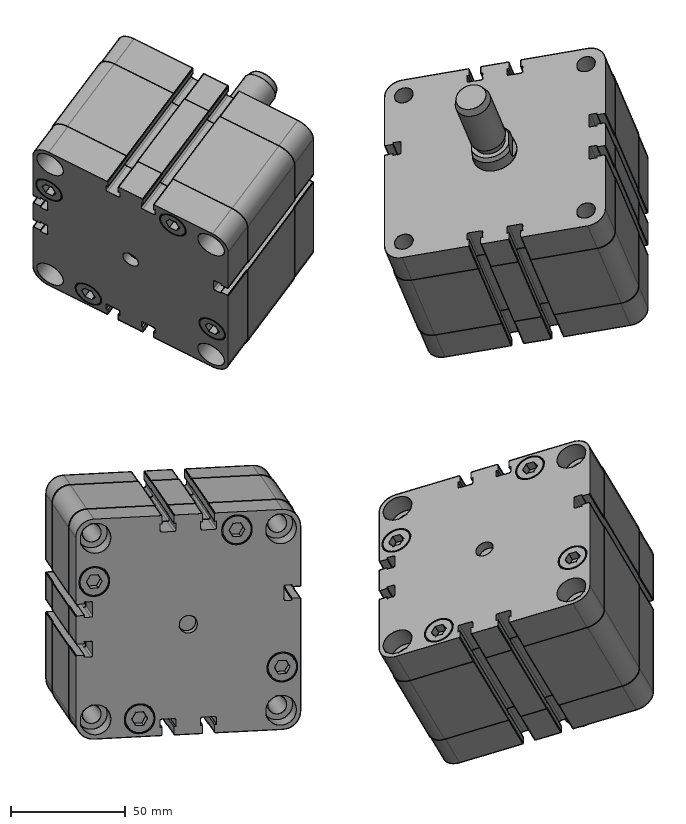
import cadquery as cq
import math

BARREL_SIDE = 100.0
OVERALL_LENGTH = 111.0
ROD_REACH = 39.8
CORNER_RADIUS = 8.0
COVER_LENGTH = 16.0
COVER_INSET = 0.2

COVER_SIDE = BARREL_SIDE - 2 * COVER_INSET
BODY_LENGTH = OVERALL_LENGTH - ROD_REACH
BARREL_LENGTH = BODY_LENGTH - 2 * COVER_LENGTH
Y_FRONT = -OVERALL_LENGTH / 2
Y_REAR = Y_FRONT + BODY_LENGTH

SLOT_OFFSET = 9.0
SINGLE_SLOT_OFFSET = 12.0
SLOT_MOUTH_WIDTH = 5.2
SLOT_LIP_DEPTH = 3.8
SLOT_DEPTH = 7.4
SLOT_WIDTH = 7.0
SLOT_FILLET = 0.8
COVER_SLOT_CHAMFER = 0.3
BARREL_SLOT_CHAMFER = 0.2

MOUNT_OFFSET = 41.1
MOUNT_DIAMETER = 8.3
MOUNT_BORE_DIAMETER = 13.5
MOUNT_BORE_DEPTH = 9.0

SCREW_NEAR = 21.5
SCREW_FAR = 41.6
SCREW_BORE_DIAMETER = 13.5
SCREW_HEAD_DIAMETER = 12.5
SCREW_GAP_DEPTH = 5.0
SCREW_HEX = 6.0
SCREW_HEX_DEPTH = 4.0

CENTER_DIAMETER = 8.0
CENTER_DEPTH = 4.0

COLLAR_DIAMETER = 20.0
COLLAR_LENGTH = 8.0
COLLAR_CHAMFER = 1.1
COLLAR_CHAMFER_LENGTH = 1.9
FLATS_WIDTH = 16.8
FLATS_LENGTH = 6.0
NECK_DIAMETER = 13.5
NECK_LENGTH = 3.0
NECK_CONE_LENGTH = 0.8
THREAD_DIAMETER = 16.0
TIP_DIAMETER = 13.5
TIP_LENGTH = 3.3


def plane_at(y):
    """XZ plane at depth y whose normal points to +Y; local x is -X, local y is Z."""
    return cq.Workplane(cq.Plane(origin=(0, y, 0), xDir=(-1, 0, 0), normal=(0, 1, 0)))


def slot(y, length, half_side, edge_chamfer, offset, angle):
    """Stepped slot cut into the top side at X = offset, then turned about Y."""
    mouth = SLOT_MOUTH_WIDTH / 2
    lip_bottom = half_side - SLOT_LIP_DEPTH
    floor = half_side - SLOT_DEPTH
    wide = (
        plane_at(y)
        .center(-offset, (lip_bottom + floor) / 2)
        .rect(SLOT_WIDTH, lip_bottom - floor)
        .extrude(length)
        .edges("|Y and <Z")
        .fillet(SLOT_FILLET)
    )
    narrow = (
        plane_at(y)
        .center(-offset, 0)
        .polyline(
            [
                (-mouth, floor),
                (mouth, floor),
                (mouth, half_side - edge_chamfer),
                (mouth + edge_chamfer, half_side),
                (-mouth - edge_chamfer, half_side),
                (-mouth, half_side - edge_chamfer),
            ]
        )
        .close()
        .extrude(length)
    )
    return wide.union(narrow).rotate((0, 0, 0), (0, 1, 0), angle)


def body_section(y, length, side, edge_chamfer):
    """Rounded square block with slots in pairs on three sides and a single slot on the +X side."""
    section = plane_at(y).rect(side, side).extrude(length).edges("|Y").fillet(CORNER_RADIUS)
    for angle in (0, 180, 270):
        for offset in (-SLOT_OFFSET, SLOT_OFFSET):
            section = section.cut(slot(y, length, side / 2, edge_chamfer, offset, angle))
    return section.cut(slot(y, length, side / 2, edge_chamfer, -SINGLE_SLOT_OFFSET, 90))


def make_body():
    """Front cover, slightly larger barrel and rear cover, one behind the other."""
    cover = (COVER_LENGTH, COVER_SIDE, COVER_SLOT_CHAMFER)
    barrel = (BARREL_LENGTH, BARREL_SIDE, BARREL_SLOT_CHAMFER)
    body = body_section(Y_FRONT, *cover)
    body = body.union(body_section(Y_FRONT + COVER_LENGTH, *barrel))
    return body.union(body_section(Y_REAR - COVER_LENGTH, *cover))


def cut_mounting_holes(body):
    side = 2 * MOUNT_OFFSET
    through = plane_at(Y_FRONT).rect(side, side, forConstruction=True).vertices()
    through = through.circle(MOUNT_DIAMETER / 2).extrude(BODY_LENGTH)
    bores = plane_at(Y_FRONT).rect(side, side, forConstruction=True).vertices()
    bores = bores.circle(MOUNT_BORE_DIAMETER / 2).extrude(MOUNT_BORE_DEPTH)
    return body.cut(through).cut(bores)


def cut_cover_screws(body):
    """Leave each screw head standing in its bore, flush with the front face, with a hex socket."""
    center = (-SCREW_NEAR, SCREW_FAR)
    gap = (
        plane_at(Y_FRONT)
        .center(*center)
        .circle(SCREW_BORE_DIAMETER / 2)
        .circle(SCREW_HEAD_DIAMETER / 2)
        .extrude(SCREW_GAP_DEPTH)
    )
    hex_diameter = SCREW_HEX / math.cos(math.pi / 6)
    for quarter in range(4):
        angle = math.radians(90 * quarter)
        x = center[0] * math.cos(angle) - center[1] * math.sin(angle)
        z = center[0] * math.sin(angle) + center[1] * math.cos(angle)
        socket = plane_at(Y_FRONT).center(x, z).polygon(6, hex_diameter).extrude(SCREW_HEX_DEPTH)
        body = body.cut(gap.rotate((0, 0, 0), (0, 1, 0), 90 * quarter)).cut(socket)
    return body


def make_rod():
    """Turned rod end with two wrench flats on its collar."""
    collar_end = Y_REAR + COLLAR_LENGTH
    neck_end = collar_end + NECK_LENGTH
    tip = OVERALL_LENGTH / 2
    collar_radius = COLLAR_DIAMETER / 2
    profile = [
        (0, Y_REAR),
        (collar_radius, Y_REAR),
        (collar_radius, collar_end - COLLAR_CHAMFER_LENGTH),
        (collar_radius - COLLAR_CHAMFER, collar_end),
        (NECK_DIAMETER / 2, collar_end),
        (NECK_DIAMETER / 2, neck_end),
        (THREAD_DIAMETER / 2, neck_end + NECK_CONE_LENGTH),
        (THREAD_DIAMETER / 2, tip - TIP_LENGTH),
        (TIP_DIAMETER / 2, tip),
        (0, tip),
    ]
    rod = cq.Workplane("XY").polyline(profile).close().revolve(360, (0, 0, 0), (0, 1, 0))

    flat_x = FLATS_WIDTH / 2
    flat_start = collar_end - FLATS_LENGTH
    run_out = collar_radius - flat_x
    flat = (
        cq.Workplane("XY")
        .polyline(
            [
                (flat_x, collar_end),
                (flat_x, flat_start),
                (collar_radius, flat_start - run_out),
                (collar_radius, collar_end),
            ]
        )
        .close()
        .extrude(collar_radius, both=True)
    )
    return rod.cut(flat).cut(flat.mirror("YZ"))


body = cut_cover_screws(cut_mounting_holes(make_body()))
center_hole = plane_at(Y_FRONT).circle(CENTER_DIAMETER / 2).extrude(CENTER_DEPTH)
result = body.cut(center_hole).union(make_rod())